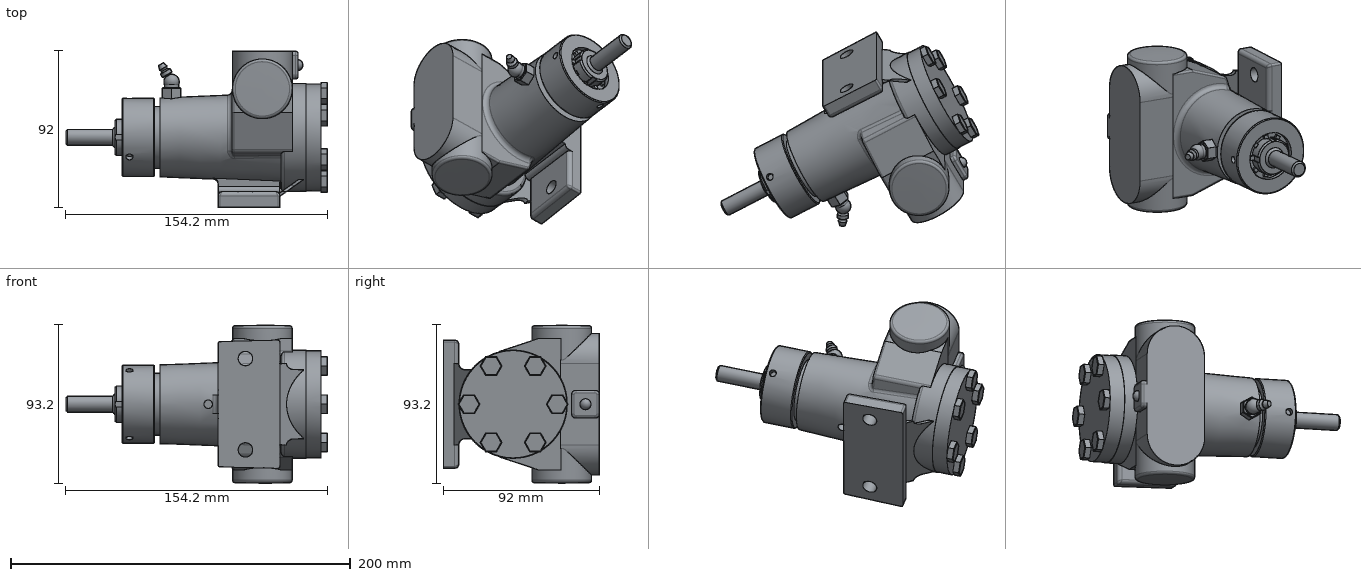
import cadquery as cq
import math


MARGIN = 1.0
FINE_MARGIN = 0.1

SHAFT_RADIUS = 4.76
SHAFT_CHAMFER = 1.0
SHOULDER_RADIUS = 6.2
SHOULDER_X = 27.4
NUT_X = 28.8
NUT_RADIUS = 10.9
NUT_CHAMFER = 1.0
NUT_SLOT_WIDTH = 3.2
NUT_SLOT_DEPTH = 0.8
NUT_SLOT_COUNT = 4
RECESS_RADIUS = 14.2
RECESS_DEPTH = 3.0
TAB_COUNT = 9
TAB_WIDTH = 2.6
TAB_OUTER_RADIUS = 12.9
TAB_HEIGHT = 1.5
COLLAR_X = 33.0
COLLAR_END_X = 52.3
COLLAR_RADIUS = 23.1
COLLAR_CHAMFER = 0.6
SPANNER_HOLE_X = 37.4
SPANNER_HOLE_DIAMETER = 4.0
SPANNER_HOLE_DEPTH = 4.0
SPANNER_HOLE_COUNT = 3
NECK_RADIUS = 18.35

CONE_X = 55.3
CONE_RADIUS = 23.3
CONE_SLOPE = 0.042
DRAIN_X = 83.8
DRAIN_DIAMETER = 5.0
DRAIN_DEPTH = 5.0

HEAD_X = 126.8
HEAD_RADIUS = 31.9
HEAD_FILLET = 2.0
COVER_X = 141.4
COVER_END_X = 150.3
COVER_RADIUS = 31.6
BOLT_COUNT = 6
BOLT_CIRCLE_RADIUS = 26.0
BOLT_FLATS = 11.1
BOLT_HEAD_HEIGHT = 3.9
BOLT_CHAMFER = 0.4

PORT_X = 115.7
PORT_Y = 28.6
PORT_RADIUS = 17.6
PORT_SPAN = 93.17
PORT_CROWN = 0.3
PORT_FILLET = 1.6
REAR_FACE_Y = 50.8
REAR_START_Y = 27.8
REAR_RADIUS = 17.7
ROUND_END_Z = 24.1
BLOCK_X = 97.9
BLOCK_END_X = 133.3
BLOCK_HALF_HEIGHT = 38.6
BLOCK_REAR_Y = 28.3
BLOCK_SLOPE_Y = 14.6
BLOCK_LOW_Y = -8.7
BLOCK_LOW_Z = 30.9
BLOCK_BOTTOM_Y = -12.2
BLOCK_BOTTOM_Z = 20.0
BLOCK_EDGE_FILLET = 3.0
BLOCK_RIM_FILLET = 1.2
HOUSING_FILLET = 3.0

PAD_END_X = 136.8
PAD_SIZE = 16.4
PAD_FILLET = 2.5
PAD_RIM_FILLET = 1.5
PIN_TIP_X = 139.6
PIN_RADIUS = 3.3

FOOT_X = 89.6
FOOT_END_X = 126.0
FOOT_FACE_Y = -41.15
FOOT_THICKNESS = 9.2
FOOT_HALF_HEIGHT = 36.9
FOOT_END_HALF_HEIGHT = 37.8
FOOT_EDGE_FILLET = 2.5
FOOT_CORNER_FILLET = 1.2
FOOT_HOLE_X = 105.7
FOOT_HOLE_Z = 26.9
FOOT_HOLE_DIAMETER = 8.5
WEB_HALF_WIDTH = 5.4
WEB_FILLET = 3.0
WEB_FRONT_FILLET = 3.0
GUSSET_END_X = 140.0
GUSSET_HALF_WIDTH = 20.4
GUSSET_LOW_Y = -34.7
GUSSET_HIGH_Y = -24.8
GUSSET_THICKNESS = 3.0
GUSSET_FLARE = 3.5

FITTING_X = 62.2
FITTING_FLATS = 11.1
FITTING_BASE_Y = 20.0
FITTING_HEX_Y = 29.4
FITTING_HEX_CHAMFER = 0.5
FITTING_NECK_RADIUS = 4.3
FITTING_BALL_Y = 32.7
FITTING_BALL_RADIUS = 4.6
NOZZLE_TILT = 31.0
NOZZLE_LENGTH = 12.2
NOZZLE_TIP_RADIUS = 1.7
NOZZLE_HEAD_RADIUS = 2.6
NOZZLE_NECK_RADIUS = 1.8
NOZZLE_RING_RADIUS = 3.3
NOZZLE_NECK_END = 4.4
NOZZLE_RING_START = 5.0
NOZZLE_RING_END = 7.2
NOZZLE_WAIST = 8.2
NOZZLE_HEAD = 9.4


def cylinder_x(x_start, x_end, radius):
    return cq.Workplane("YZ", origin=(x_start, 0, 0)).circle(radius).extrude(x_end - x_start)


def block(x_range, y_range, z_range):
    size = [high - low for low, high in (x_range, y_range, z_range)]
    corner = (x_range[0], y_range[0], z_range[0])
    return cq.Workplane("XY").box(*size, centered=False).translate(corner)


def cone_radius(x):
    return CONE_RADIUS + CONE_SLOPE * (x - CONE_X)


def hexagon_diameter(flats):
    return flats / math.cos(math.pi / 6)


def make_housing():
    """Tapered barrel running into the pump head."""
    root_x = HEAD_X + HEAD_FILLET
    profile = [
        (CONE_X, 0),
        (CONE_X, CONE_RADIUS),
        (root_x, cone_radius(root_x)),
        (root_x, 0),
    ]
    return cq.Workplane("XY").polyline(profile).close().revolve(360, (0, 0, 0), (1, 0, 0))


def make_head():
    head = cylinder_x(HEAD_X, COVER_X, HEAD_RADIUS).faces("<X").edges().fillet(HEAD_FILLET)
    return head.union(cylinder_x(COVER_X, COVER_END_X, COVER_RADIUS))


def make_block():
    """Box around the pump head whose +Z and -Z faces slope toward the barrel."""
    upper = [
        (BLOCK_REAR_Y, BLOCK_HALF_HEIGHT),
        (BLOCK_SLOPE_Y, BLOCK_HALF_HEIGHT),
        (BLOCK_LOW_Y, BLOCK_LOW_Z),
        (BLOCK_BOTTOM_Y, BLOCK_BOTTOM_Z),
    ]
    lower = [(y, -z) for y, z in reversed(upper)]
    body = (
        cq.Workplane("YZ", origin=(BLOCK_X, 0, 0))
        .polyline(upper + lower)
        .close()
        .extrude(BLOCK_END_X - BLOCK_X)
    )
    sloped_corners = cq.selectors.BoxSelector(
        (BLOCK_X, BLOCK_LOW_Y - MARGIN, -BLOCK_HALF_HEIGHT),
        (BLOCK_END_X, BLOCK_LOW_Y + MARGIN, BLOCK_HALF_HEIGHT),
    )
    body = body.edges("|X").edges(sloped_corners).fillet(BLOCK_EDGE_FILLET)
    rim = cq.selectors.BoxSelector(
        (BLOCK_X - MARGIN, BLOCK_LOW_Y + MARGIN, -BLOCK_HALF_HEIGHT - MARGIN),
        (BLOCK_X + MARGIN, BLOCK_REAR_Y - MARGIN, BLOCK_HALF_HEIGHT + MARGIN),
    )
    return body.faces("<X").edges("not |Z").edges(rim).fillet(BLOCK_RIM_FILLET)


def make_ports():
    """Crowned cylinder through Z joined to a round-ended body reaching the +Y face."""
    tip_z = PORT_SPAN / 2
    rim_z = tip_z - PORT_CROWN
    crown_radius = PORT_RADIUS - PORT_FILLET
    sphere_radius = (crown_radius ** 2 + PORT_CROWN ** 2) / (2 * PORT_CROWN)
    half_chord = crown_radius / 2
    half_chord_z = tip_z - sphere_radius + math.sqrt(sphere_radius ** 2 - half_chord ** 2)
    half_port = (
        cq.Workplane("XZ")
        .lineTo(PORT_RADIUS, 0)
        .lineTo(PORT_RADIUS, rim_z - PORT_FILLET)
        .radiusArc((crown_radius, rim_z), -PORT_FILLET)
        .threePointArc((half_chord, half_chord_z), (0, tip_z))
        .close()
        .revolve(360, (0, 0, 0), (0, 1, 0))
    )
    through = half_port.union(half_port.mirror("XY")).translate((PORT_X, PORT_Y, 0))
    rear_body = (
        cq.Workplane("XZ", origin=(PORT_X, REAR_FACE_Y, 0))
        .slot2D(2 * (ROUND_END_Z + REAR_RADIUS), 2 * REAR_RADIUS, 90)
        .extrude(REAR_FACE_Y - REAR_START_Y)
    )
    return through.union(rear_body)


def make_pad():
    half = PAD_SIZE / 2
    center_y = REAR_FACE_Y - half
    pad = (
        cq.Workplane("YZ", origin=(PORT_X, center_y, 0))
        .rect(PAD_SIZE, PAD_SIZE)
        .extrude(PAD_END_X - PORT_X)
        .edges("|X")
        .fillet(PAD_FILLET)
        .faces(">X")
        .edges()
        .fillet(PAD_RIM_FILLET)
    )
    pin_center_x = PIN_TIP_X - PIN_RADIUS
    pin = (
        cq.Workplane("XY")
        .moveTo(PORT_X, 0)
        .lineTo(PORT_X, PIN_RADIUS)
        .lineTo(pin_center_x, PIN_RADIUS)
        .radiusArc((PIN_TIP_X, 0), PIN_RADIUS)
        .close()
        .revolve(360, (0, 0, 0), (1, 0, 0))
        .translate((0, center_y, 0))
    )
    return pad.union(pin)


def make_foot():
    inner_y = FOOT_FACE_Y + FOOT_THICKNESS
    outline = [
        (FOOT_X, -FOOT_HALF_HEIGHT),
        (FOOT_END_X, -FOOT_END_HALF_HEIGHT),
        (FOOT_END_X, FOOT_END_HALF_HEIGHT),
        (FOOT_X, FOOT_HALF_HEIGHT),
    ]
    plate = (
        cq.Workplane("XZ", origin=(0, inner_y, 0))
        .polyline(outline)
        .close()
        .extrude(FOOT_THICKNESS)
    )
    plate = plate.edges("|Y").fillet(FOOT_CORNER_FILLET)
    plate = plate.faces(">Y").edges().fillet(FOOT_EDGE_FILLET)
    root_half_width = WEB_HALF_WIDTH + WEB_FILLET
    web = (
        cq.Workplane("YZ", origin=(FOOT_X, 0, 0))
        .moveTo(FOOT_FACE_Y, root_half_width)
        .lineTo(inner_y, root_half_width)
        .radiusArc((inner_y + WEB_FILLET, WEB_HALF_WIDTH), WEB_FILLET)
        .lineTo(0, WEB_HALF_WIDTH)
        .lineTo(0, -WEB_HALF_WIDTH)
        .lineTo(inner_y + WEB_FILLET, -WEB_HALF_WIDTH)
        .radiusArc((inner_y, -root_half_width), WEB_FILLET)
        .lineTo(FOOT_FACE_Y, -root_half_width)
        .close()
        .extrude(FOOT_END_X - FOOT_X)
    )
    return plate.union(web).union(make_gusset())


def make_gusset():
    """Wide sloping web tying the foot to the pump head, flared where it meets the foot."""
    outline = [
        (FOOT_END_X - GUSSET_THICKNESS, GUSSET_LOW_Y),
        (FOOT_END_X, GUSSET_LOW_Y),
        (GUSSET_END_X, GUSSET_HIGH_Y),
        (GUSSET_END_X - GUSSET_THICKNESS, GUSSET_HIGH_Y),
    ]
    full_half_width = GUSSET_HALF_WIDTH + GUSSET_FLARE
    gusset = (
        cq.Workplane("XY", origin=(0, 0, -full_half_width))
        .polyline(outline)
        .close()
        .extrude(2 * full_half_width)
    )
    flare_y = FOOT_FACE_Y + FOOT_THICKNESS + GUSSET_FLARE
    side_x = (FOOT_X, GUSSET_END_X)
    side_z = (GUSSET_HALF_WIDTH, GUSSET_HALF_WIDTH + 2 * GUSSET_FLARE)
    side_cut = block(side_x, (flare_y, 0), side_z)
    scoop = cylinder_x(FOOT_X, GUSSET_END_X, GUSSET_FLARE).translate((0, flare_y, full_half_width))
    side_cut = side_cut.union(scoop)
    return gusset.cut(side_cut).cut(side_cut.mirror("XY"))


def make_bolts():
    return (
        cq.Workplane("YZ", origin=(COVER_END_X, 0, 0))
        .polarArray(BOLT_CIRCLE_RADIUS, 0, 360, BOLT_COUNT, rotate=False)
        .polygon(6, hexagon_diameter(BOLT_FLATS))
        .extrude(BOLT_HEAD_HEIGHT)
        .faces(">X")
        .edges()
        .chamfer(BOLT_CHAMFER)
    )


def make_collar():
    collar = cylinder_x(COLLAR_X, COLLAR_END_X, COLLAR_RADIUS).edges().chamfer(COLLAR_CHAMFER)
    collar = collar.cut(cylinder_x(COLLAR_X, COLLAR_X + RECESS_DEPTH, RECESS_RADIUS))
    hole = (
        cq.Workplane("XZ", origin=(SPANNER_HOLE_X, COLLAR_RADIUS + MARGIN, 0))
        .circle(SPANNER_HOLE_DIAMETER / 2)
        .extrude(SPANNER_HOLE_DEPTH + MARGIN)
    )
    for index in range(SPANNER_HOLE_COUNT):
        angle = 360 * index / SPANNER_HOLE_COUNT
        collar = collar.cut(hole.rotate((0, 0, 0), (1, 0, 0), angle))
    return collar.union(cylinder_x(COLLAR_END_X, CONE_X, NECK_RADIUS))


def make_locknut():
    """Slotted nut in the collar recess with the tabs of its lock washer behind it."""
    floor_x = COLLAR_X + RECESS_DEPTH
    nut = cylinder_x(NUT_X, floor_x, NUT_RADIUS).faces("<X").edges().chamfer(NUT_CHAMFER)
    half_slot = NUT_SLOT_WIDTH / 2
    slot = block(
        (NUT_X, floor_x), (NUT_RADIUS - NUT_SLOT_DEPTH, NUT_RADIUS + MARGIN), (-half_slot, half_slot)
    )
    for index in range(NUT_SLOT_COUNT):
        nut = nut.cut(slot.rotate((0, 0, 0), (1, 0, 0), 360 * index / NUT_SLOT_COUNT))
    half_tab = TAB_WIDTH / 2
    tab = block(
        (floor_x - TAB_HEIGHT, floor_x), (NUT_RADIUS - MARGIN, TAB_OUTER_RADIUS), (-half_tab, half_tab)
    )
    for index in range(TAB_COUNT):
        nut = nut.union(tab.rotate((0, 0, 0), (1, 0, 0), 360 * index / TAB_COUNT))
    return nut


def make_shaft():
    shaft = cylinder_x(0, CONE_X, SHAFT_RADIUS).faces("<X").edges().chamfer(SHAFT_CHAMFER)
    shoulder = cylinder_x(SHOULDER_X, COLLAR_X, SHOULDER_RADIUS)
    shoulder = shoulder.faces("<X").edges().chamfer(SHOULDER_RADIUS - SHAFT_RADIUS)
    return shaft.union(shoulder)


def make_grease_fitting():
    base = (
        cq.Workplane("XZ", origin=(FITTING_X, FITTING_HEX_Y, 0))
        .transformed(rotate=(0, 0, 90))
        .polygon(6, hexagon_diameter(FITTING_FLATS))
        .extrude(FITTING_HEX_Y - FITTING_BASE_Y)
        .faces(">Y")
        .edges()
        .chamfer(FITTING_HEX_CHAMFER)
    )
    neck = (
        cq.Workplane("XZ", origin=(FITTING_X, FITTING_BALL_Y, 0))
        .circle(FITTING_NECK_RADIUS)
        .extrude(FITTING_BALL_Y - FITTING_HEX_Y)
    )
    ball_center = (FITTING_X, FITTING_BALL_Y, 0)
    ball = cq.Workplane("XY").sphere(FITTING_BALL_RADIUS).translate(ball_center)
    nozzle_profile = [
        (0, 0),
        (NOZZLE_NECK_RADIUS, 0),
        (NOZZLE_NECK_RADIUS, NOZZLE_NECK_END),
        (NOZZLE_RING_RADIUS, NOZZLE_RING_START),
        (NOZZLE_RING_RADIUS, NOZZLE_RING_END),
        (NOZZLE_NECK_RADIUS, NOZZLE_WAIST),
        (NOZZLE_HEAD_RADIUS, NOZZLE_HEAD),
        (NOZZLE_TIP_RADIUS, NOZZLE_LENGTH),
        (0, NOZZLE_LENGTH),
    ]
    nozzle = (
        cq.Workplane("XY")
        .polyline(nozzle_profile)
        .close()
        .revolve(360, (0, 0, 0), (0, 1, 0))
        .rotate((0, 0, 0), (0, 0, 1), NOZZLE_TILT)
        .translate(ball_center)
    )
    return base.union(neck).union(ball).union(nozzle)


def cut_foot_holes(body):
    holes = (
        cq.Workplane("XZ", origin=(FOOT_HOLE_X, FOOT_FACE_Y + FOOT_THICKNESS, 0))
        .pushPoints([(0, FOOT_HOLE_Z), (0, -FOOT_HOLE_Z)])
        .circle(FOOT_HOLE_DIAMETER / 2)
        .extrude(FOOT_THICKNESS)
    )
    return body.cut(holes)


def cut_drain(body):
    surface_y = -cone_radius(DRAIN_X)
    drain = (
        cq.Workplane("XZ", origin=(DRAIN_X, surface_y + DRAIN_DEPTH, 0))
        .circle(DRAIN_DIAMETER / 2)
        .extrude(DRAIN_DEPTH + MARGIN)
    )
    return body.cut(drain)


def fillet_barrel_joint(body):
    """Blend the barrel into the front face of the port block."""
    reach = cone_radius(BLOCK_X) + MARGIN
    joint = cq.selectors.BoxSelector(
        (BLOCK_X - FINE_MARGIN, -reach, -reach), (BLOCK_X + FINE_MARGIN, reach, reach)
    )
    return body.edges(joint).edges("%CIRCLE").fillet(HOUSING_FILLET)


def fillet_web_front(body):
    """Blend the front of the narrow web into the barrel."""
    surface_y = -cone_radius(FOOT_X)
    joint = cq.selectors.BoxSelector(
        (FOOT_X - FINE_MARGIN, surface_y - MARGIN, -WEB_HALF_WIDTH - MARGIN),
        (FOOT_X + FINE_MARGIN, surface_y + MARGIN, WEB_HALF_WIDTH + MARGIN),
    )
    return body.edges(joint).fillet(WEB_FRONT_FILLET)


body = fillet_barrel_joint(make_housing().union(make_block()))
for piece in (
    make_head(),
    make_ports(),
    make_pad(),
    make_foot(),
    make_bolts(),
    make_collar(),
    make_locknut(),
    make_shaft(),
    make_grease_fitting(),
):
    body = body.union(piece)
body = fillet_web_front(body)
body = cut_foot_holes(body)
result = cut_drain(body)